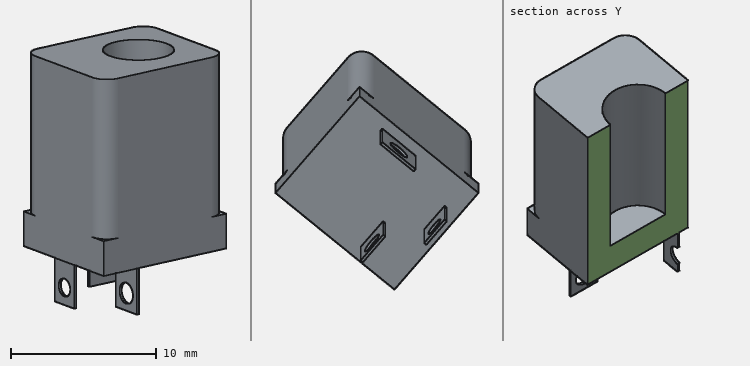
import cadquery as cq

width = 8.99
depth = 10.69
housing_height = 13.97
base_height = 2.5
corner_radius = 1.25

socket_diameter = 4.9
socket_y = 1.17
socket_depth = housing_height - base_height

terminal_length = 3.63
terminal_thickness = 0.2
side_eyelet_height = 1.5
facing_eyelet_height = 1.26

side_terminal_x = -3.64
side_terminal_width = 3.0
side_eyelet_diameter = 1.5

front_terminal_center = (-1.19, -4.25)
front_terminal_width = 2.2
front_eyelet_diameter = 1.28

middle_terminal_center = (2.47, -1.71)
middle_terminal_width = 2.4
middle_eyelet_diameter = 1.5


def make_housing():
    """Square-cornered base, rounded column on top of it, and the blind socket."""
    base = cq.Workplane("XY").rect(width, depth).extrude(base_height)
    column = (
        cq.Workplane("XY")
        .rect(width, depth)
        .extrude(housing_height)
        .edges("|Z")
        .fillet(corner_radius)
    )
    socket = (
        cq.Workplane("XY", origin=(0, socket_y, housing_height))
        .circle(socket_diameter / 2)
        .extrude(-socket_depth)
    )
    return base.union(column).cut(socket)


def make_terminal(center, blade_width, eyelet_diameter, eyelet_height, turn=0):
    """Flat blade with an eyelet; it spans X, or Y when turned by 90 degrees."""
    blade = cq.Workplane("XY").rect(blade_width, terminal_thickness).extrude(-terminal_length)
    eyelet = (
        cq.Workplane("XZ", origin=(0, 0, eyelet_height - terminal_length))
        .circle(eyelet_diameter / 2)
        .extrude(terminal_thickness, both=True)
    )
    terminal = blade.cut(eyelet)
    return terminal.rotate((0, 0, 0), (0, 0, 1), turn).translate((center[0], center[1], 0))


side_terminal = make_terminal(
    (side_terminal_x, socket_y),
    side_terminal_width,
    side_eyelet_diameter,
    side_eyelet_height,
    turn=90,
)
front_terminal = make_terminal(
    front_terminal_center,
    front_terminal_width,
    front_eyelet_diameter,
    facing_eyelet_height,
)
middle_terminal = make_terminal(
    middle_terminal_center,
    middle_terminal_width,
    middle_eyelet_diameter,
    facing_eyelet_height,
)

result = make_housing().union(side_terminal).union(front_terminal).union(middle_terminal)